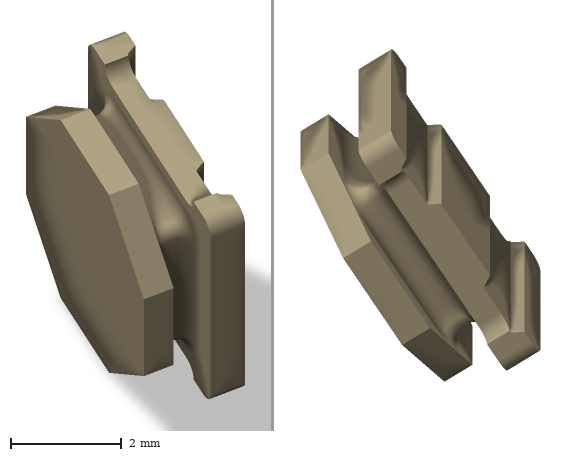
import cadquery as cq
import math

width = 5.0
depth = 2.0

plate_thickness = 0.7
plate_corner_radius = 0.3
notch_depth = 0.3
notch_length = 3.62

groove_depth = 0.22
groove_inner_x = 0.815
groove_outer_x = 1.975
groove_wall_angle = 60.0

flange_width = 4.815
flange_height = width
flange_thickness = 0.6
flange_chamfer = 1.42

core_size = 3.2
core_corner_radius = 0.225
core_fillet = 0.3

front_y = -depth / 2
back_y = depth / 2
plate_front_y = back_y - plate_thickness
flange_back_y = front_y + flange_thickness


def block(size_x, size_z, y_start, y_end):
    """Box centred on the Y axis between two Y positions."""
    return cq.Workplane("XY").box(size_x, y_end - y_start, size_z).translate((0, (y_start + y_end) / 2, 0))


def make_plate():
    plate = block(width, width, plate_front_y, back_y).edges("|Y").fillet(plate_corner_radius)
    half_length = notch_length / 2
    floor_half_length = half_length - notch_depth
    edge_z = width / 2
    floor_z = edge_z - notch_depth
    bend = notch_depth * math.sqrt(0.5)
    notch = (
        cq.Workplane("XZ", origin=(0, back_y, 0))
        .moveTo(-half_length, edge_z)
        .threePointArc((-floor_half_length - bend, edge_z - bend), (-floor_half_length, floor_z))
        .lineTo(floor_half_length, floor_z)
        .threePointArc((floor_half_length + bend, edge_z - bend), (half_length, edge_z))
        .close()
        .extrude(plate_thickness)
    )
    return plate.cut(notch).cut(notch.mirror("XY"))


def make_groove(side):
    wall_run = groove_depth / math.tan(math.radians(groove_wall_angle))
    floor_y = back_y - groove_depth
    points = [
        (side * groove_inner_x, back_y),
        (side * (groove_inner_x + wall_run), floor_y),
        (side * (groove_outer_x - wall_run), floor_y),
        (side * groove_outer_x, back_y),
    ]
    return cq.Workplane("XY").polyline(points).close().extrude(width / 2, both=True)


def make_flange():
    return block(flange_width, flange_height, front_y, flange_back_y).edges("|Y").chamfer(flange_chamfer)


def make_core(flange):
    """Rounded square core, flared by a concave fillet at both ends."""
    middle_y = (flange_back_y + plate_front_y) / 2
    core = block(core_size, core_size, flange_back_y, plate_front_y).edges("|Y").fillet(core_corner_radius)
    front_slab = block(width, width, front_y, flange_back_y)
    back_slab = block(width, width, plate_front_y, back_y)
    spool = core.union(front_slab).union(back_slab)
    root_reach = core_size / 2 + core_fillet
    roots = cq.selectors.BoxSelector(
        (-root_reach, front_y, -root_reach), (root_reach, back_y, root_reach), boundingbox=True
    )
    spool = spool.edges("not |Y").edges(roots).fillet(core_fillet)
    flange_half = spool.intersect(block(width, width, flange_back_y, middle_y))
    plate_half = spool.intersect(block(width, width, middle_y, plate_front_y))
    flange_half = flange_half.intersect(flange.translate((0, flange_thickness, 0)))
    return plate_half.union(flange_half)


plate = make_plate()
for side in (-1, 1):
    plate = plate.cut(make_groove(side))
flange = make_flange()
result = plate.union(make_core(flange)).union(flange)